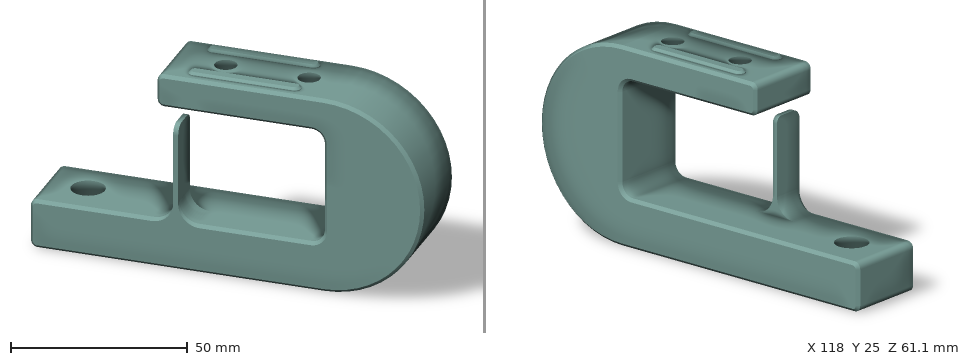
import cadquery as cq
import math

length = 118
width = 25.0
body_height = 60.1
bend_radius = body_height / 2
bend_x = length - bend_radius
side_chamfer = 1.0
end_radius = 2.0

lower_arm_height = 15.0
upper_arm_thickness = 10.0
upper_arm_start = 38.0
opening_end = 88.1
opening_radius = 4.0
upper_arm_bottom = body_height - upper_arm_thickness

tab_start = 43.0
tab_thickness = 1.5
tab_end = tab_start + tab_thickness
tab_width = 9.8
tab_top = 45.0
tab_root_radius = 6.0
tab_front_corner_radius = 3.0
tab_back_corner_radius = 2.0
front_y = -width / 2

mount_hole_x = 13
mount_hole_diameter = 10.0
small_hole_xs = (54.3, 79.3)
small_hole_diameter = 6.6

rib_length = 33.7
rib_width = 4.0
rib_height = 1.0
rib_chamfer = 0.7
rib_x = 62.9
rib_y = 8.0


def make_body():
    """Hook-shaped body with rounded arm ends and chamfered side edges."""
    profile = (
        cq.Workplane("XZ", origin=(0, width / 2, 0))
        .lineTo(bend_x, 0)
        .threePointArc((length, bend_radius), (bend_x, body_height))
        .lineTo(upper_arm_start, body_height)
        .lineTo(upper_arm_start, upper_arm_bottom)
        .lineTo(opening_end, upper_arm_bottom)
        .lineTo(opening_end, lower_arm_height)
        .lineTo(0, lower_arm_height)
        .close()
    )
    body = profile.extrude(width)
    body = body.edges(cq.selectors.BoxSelector(
        (-1.2, -width, -1.2), (upper_arm_start + 1.2, width, body_height + 1.2)
    )).edges("|Y").fillet(end_radius)
    body = body.edges(cq.selectors.BoxSelector(
        (opening_end - 1.2, -width, lower_arm_height - 1.2),
        (opening_end + 1.2, width, upper_arm_bottom + 1.2),
    )).edges("|Y").fillet(opening_radius)
    return body.faces("<Y or >Y").edges().chamfer(side_chamfer)


def root_section(face_x, direction, y, drop):
    """Wire of the hollow beside the tab; drop lowers its foot below the floor."""
    center_x = face_x + direction * tab_root_radius
    center_z = lower_arm_height + tab_root_radius
    depth = tab_root_radius + drop
    diagonal = math.sqrt(0.5)
    middle = (
        center_x - direction * tab_root_radius * diagonal,
        center_z - depth * diagonal,
    )
    return (
        cq.Workplane("XZ", origin=(0, y, 0))
        .moveTo(face_x, center_z)
        .threePointArc(middle, (center_x, center_z - depth))
        .lineTo(center_x, center_z)
        .close()
        .val()
    )


def make_tab():
    """Upright tab with curved roots whose front edges have a tapering chamfer."""
    base_z = lower_arm_height - 2 * side_chamfer
    tab_y = front_y + tab_width / 2
    blade = (
        cq.Workplane("XY", origin=((tab_start + tab_end) / 2, tab_y, base_z))
        .rect(tab_thickness, tab_width)
        .extrude(tab_top - base_z)
        .faces(">Z").edges("|X and <Y").fillet(tab_front_corner_radius)
        .faces(">Z").edges("|X and >Y").fillet(tab_back_corner_radius)
    )
    root_length = tab_thickness + 2 * tab_root_radius
    root = (
        cq.Workplane("XY", origin=((tab_start + tab_end) / 2, tab_y, base_z))
        .rect(root_length, tab_width)
        .extrude(lower_arm_height + tab_root_radius - base_z)
    )
    for face_x, direction in ((tab_start, -1), (tab_end, 1)):
        inner = root_section(face_x, direction, front_y + side_chamfer, 0)
        outer = root_section(face_x, direction, front_y, side_chamfer)
        hollow = cq.Workplane(cq.Solid.extrudeLinear(inner, [], cq.Vector(0, width, 0)))
        taper = cq.Workplane(cq.Solid.makeLoft([outer, inner], True))
        root = root.cut(hollow).cut(taper)
    return blade.union(root)


def make_ribs():
    """Pair of round-ended ribs with chamfered tops."""
    return (
        cq.Workplane("XY", origin=(rib_x, 0, body_height))
        .pushPoints([(0, -rib_y), (0, rib_y)])
        .slot2D(rib_length, rib_width)
        .extrude(rib_height)
        .faces(">Z").edges().chamfer(rib_chamfer)
    )


def vertical_hole(x, diameter, bottom, height):
    return cq.Workplane("XY", origin=(x, 0, bottom)).circle(diameter / 2).extrude(height)


result = make_body().union(make_tab()).union(make_ribs())
result = result.cut(vertical_hole(mount_hole_x, mount_hole_diameter, 0, lower_arm_height))
for hole_x in small_hole_xs:
    result = result.cut(
        vertical_hole(hole_x, small_hole_diameter, upper_arm_bottom, upper_arm_thickness)
    )